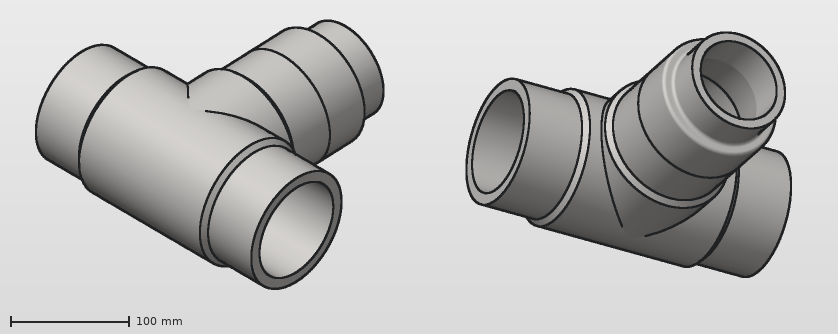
import cadquery as cq
import math

run_length = 253.0
collar_diameter = 120.0
pipe_diameter = 110.0
bore_diameter = 89.8
collar_length = 151.8
collar_chamfer = (collar_diameter - pipe_diameter) / 2

branch_collar_end = 71.0
branch_end = 114.9

shoulder_end = 159.0
reducer_end = 190.5
neck_diameter = 90.0
neck_bore_diameter = 73.5
shoulder_fillet = 3.0

pipe_radius = pipe_diameter / 2
bore_radius = bore_diameter / 2
neck_radius = neck_diameter / 2
neck_bore_radius = neck_bore_diameter / 2


def cylinder_x(diameter, length):
    """Cylinder along X, centred on the origin."""
    return cq.Workplane("YZ").circle(diameter / 2).extrude(length / 2, both=True)


def cylinder_y(diameter, length):
    """Cylinder along +Y, starting on the run axis."""
    return cq.Workplane("XZ").circle(diameter / 2).extrude(-length)


def make_tee():
    """Run and branch of equal size, thickened by chamfered collars around the junction."""
    run_collar = cylinder_x(collar_diameter, collar_length).edges("%CIRCLE").chamfer(collar_chamfer)
    branch_collar = cylinder_y(collar_diameter, branch_collar_end).faces(">Y").chamfer(collar_chamfer)
    tee = run_collar.union(branch_collar)
    tee = tee.union(cylinder_x(pipe_diameter, run_length))
    tee = tee.union(cylinder_y(pipe_diameter, branch_end))
    tee = tee.cut(cylinder_x(bore_diameter, run_length))
    return tee.cut(cylinder_y(bore_diameter, branch_end))


def make_reducer():
    """Turned reducer with a tapered bore, a rounded shoulder and a smaller neck."""
    rounded_start = shoulder_end - shoulder_fillet
    rounded_end = shoulder_end + shoulder_fillet
    diagonal = shoulder_fillet * math.sqrt(0.5)
    rim_centre_x = pipe_radius - shoulder_fillet
    root_centre_x = neck_radius + shoulder_fillet
    profile = (
        cq.Workplane("XY")
        .moveTo(bore_radius, branch_end)
        .lineTo(pipe_radius, branch_end)
        .lineTo(pipe_radius, rounded_start)
        .threePointArc((rim_centre_x + diagonal, rounded_start + diagonal), (rim_centre_x, shoulder_end))
        .lineTo(root_centre_x, shoulder_end)
        .threePointArc((root_centre_x - diagonal, rounded_end - diagonal), (neck_radius, rounded_end))
        .lineTo(neck_radius, reducer_end)
        .lineTo(neck_bore_radius, reducer_end)
        .lineTo(neck_bore_radius, rounded_start)
        .close()
    )
    return profile.revolve(360, (0, 0, 0), (0, 1, 0))


tee = make_tee()
reducer = make_reducer()

result = cq.Compound.makeCompound([tee.val(), reducer.val()])